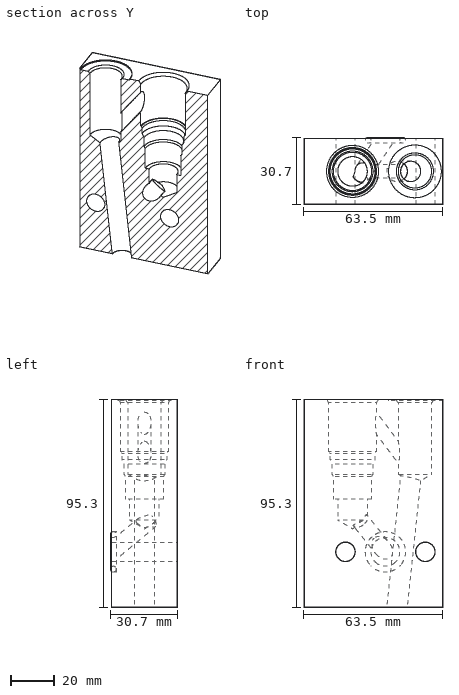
import cadquery as cq
import math

width = 63.5
overall_depth = 30.7
height = 95.25
seal_protrusion = 0.5
depth = overall_depth - seal_protrusion
mid_y = depth / 2

mounting_radius = 4.4
mounting_z = 25.4
mounting_xs = (19.0, 55.5)

seal_x = sum(mounting_xs) / 2
seal_major_radius = 7.9
seal_section_radius = 1.3
seal_outer_radius = seal_major_radius + seal_section_radius
seal_recess_depth = 2 * seal_section_radius - seal_protrusion

cavity_x = 22.2
cavity_mouth_radius = 11.9
cavity_upper_radius = 11.0
cavity_ledge_radius = 10.7
cavity_middle_radius = 10.3
cavity_land_radius = 9.3
cavity_lower_radius = 8.8
cavity_nose_radius = 6.8
cavity_mouth_depth = 1.5
cavity_ledge_depth = 23.8
cavity_middle_top_depth = 24.8
cavity_middle_bottom_depth = 27.6
cavity_land_top_depth = 29.5
cavity_land_bottom_depth = 34.3
cavity_lower_top_depth = 35.2
cavity_shoulder_depth = 45.7
cavity_nose_depth = 55.2

port_x = 50.8
port_spotface_radius = 12.1
port_spotface_depth = 0.6
port_mouth_radius = 8.5
port_bore_radius = 7.6
port_chamfer_depth = 1.5
port_bore_depth = 34.3

drill_tip_angle = 118.0
tip_slope = 1 / math.tan(math.radians(drill_tip_angle / 2))

drain_radius = 4.7
drain_start_x = 49.6
drain_start_z = 66.7
drain_bottom_x = 42.6

link_radius = 3.05
link_wall_x = cavity_x + cavity_upper_radius
link_wall_z = 84.3
link_tilt = 53.0
link_start_x = cavity_x + cavity_upper_radius / 2
link_end_x = port_x - port_bore_radius / 2

feed_radius = 4.0
feed_end = cq.Vector(25.5, 12.6, 40.0)
feed_mouth = cq.Vector(seal_x, depth, mounting_z)

runout = 0.15


def revolve_about_vertical(center_x, profile):
    """Solid of revolution about a vertical axis, from (radius, depth below the top) points."""
    points = [(radius, height - drop) for radius, drop in profile]
    sketch = cq.Workplane("XZ", origin=(center_x, mid_y, 0)).polyline(points).close()
    return sketch.revolve(360, (0, 0, 0), (0, 1, 0))


def slanted_drill(start, end, radius):
    """Cylinder from start to end, with a drill cone beyond the end."""
    axis = end - start
    length = axis.Length
    cylinder = cq.Solid.makeCylinder(radius, length, start, axis)
    cone = cq.Solid.makeCone(radius, 0, radius * tip_slope, end, axis)
    return cq.Workplane(cylinder.fuse(cone))


def back_face_circle(x, radius):
    """Circle on the back face at mounting height; extruding it forward goes into the block."""
    return cq.Workplane("XZ", origin=(x, depth, mounting_z)).circle(radius)


def make_cavity():
    return revolve_about_vertical(cavity_x, [
        (0, 0),
        (cavity_mouth_radius, 0),
        (cavity_upper_radius, cavity_mouth_depth),
        (cavity_upper_radius, cavity_ledge_depth),
        (cavity_ledge_radius, cavity_ledge_depth),
        (cavity_middle_radius, cavity_middle_top_depth),
        (cavity_middle_radius, cavity_middle_bottom_depth),
        (cavity_land_radius, cavity_land_top_depth),
        (cavity_land_radius, cavity_land_bottom_depth),
        (cavity_lower_radius, cavity_lower_top_depth),
        (cavity_lower_radius, cavity_shoulder_depth),
        (cavity_nose_radius, cavity_shoulder_depth),
        (cavity_nose_radius, cavity_nose_depth),
        (0, cavity_nose_depth + cavity_nose_radius * tip_slope),
    ])


def make_port():
    return revolve_about_vertical(port_x, [
        (0, 0),
        (port_spotface_radius, 0),
        (port_spotface_radius, port_spotface_depth),
        (port_mouth_radius, port_spotface_depth),
        (port_bore_radius, port_chamfer_depth),
        (port_bore_radius, port_bore_depth),
        (0, port_bore_depth + port_bore_radius * tip_slope),
    ])


def make_drain():
    start = cq.Vector(drain_start_x, mid_y, drain_start_z)
    outlet = cq.Vector(drain_bottom_x, mid_y, 0)
    return slanted_drill(start, outlet + (outlet - start) * runout, drain_radius)


def make_link():
    slope = math.tan(math.radians(link_tilt))

    def axis_point(x):
        return cq.Vector(x, mid_y, link_wall_z - (x - link_wall_x) * slope)

    return slanted_drill(axis_point(link_start_x), axis_point(link_end_x), link_radius)


def make_feed():
    start = feed_mouth + (feed_mouth - feed_end) * runout
    return slanted_drill(start, feed_end, feed_radius)


def make_block():
    block = cq.Workplane("XY").box(width, depth, height, centered=False)
    for x in mounting_xs:
        block = block.cut(back_face_circle(x, mounting_radius).extrude(depth))
    block = block.cut(back_face_circle(seal_x, seal_outer_radius).extrude(seal_recess_depth))
    for tool in (make_cavity(), make_port(), make_drain(), make_link(), make_feed()):
        block = block.cut(tool)
    return block.solids().val()


def make_seal():
    """Round-section ring resting on the recess floor and standing proud of the back face."""
    center = cq.Vector(seal_x, overall_depth - seal_section_radius, mounting_z)
    return cq.Solid.makeTorus(seal_major_radius, seal_section_radius, center, cq.Vector(0, 1, 0))


block = make_block()
seal = make_seal()
result = cq.Compound.makeCompound([block, seal])